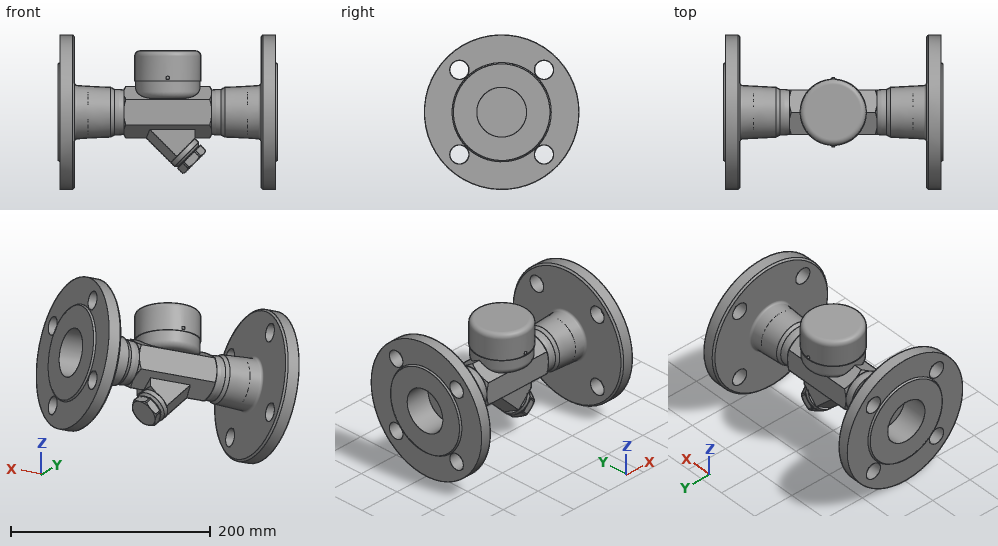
import cadquery as cq
import math

length = 220.0
flange_radius = 155.0 / 2
raised_face_height = 2.0
raised_face_radius = 48.5
raised_face_draft = 1.3
flange_inner_face = 93.5
flange_chamfer = 2.0
bolt_hole_diameter = 19.0
bolt_circle_diameter = 120.0
bolt_count = 4
bore_diameter = 50.0
bore_depth = 30.0

neck_root_radius = 26.8
neck_root_fillet = 2.6
neck_tip = 57.5
neck_tip_radius = 25.0
weld_outer = 53.5
weld_inner = 48.6
weld_radius = 46.0 / 2
body_joint_radius = 22.2

body_length = 88.0
body_across_flats = 44.9
body_chamfer_length = 2.0
body_chamfer_end_radius = 22.7

bowl_radius = 65.0 / 2
bowl_bottom = 13.6
bowl_fillet = 6.5
cap_radius = 66.5 / 2
cap_bottom = 31.2
cap_top = 61.5
cap_fillet = 5.5
pip_radius = 1.8
pip_z = 34.3

branch_angle = 45.0
branch_axis_offset = 16.5
branch_corner_radius = 34.0 / 2
branch_end = 37.8
branch_right_face = 27.3

collar_radius = branch_corner_radius
collar_shoulder = 43.3
plug_neck_radius = 29.0 / 2
plug_hex_start = 46.6
plug_hex_end = 55.0
plug_across_flats = 29.0
plug_corner_radius = 16.3
plug_chamfer = 1.0


def hexagon_radius(across_flats):
    """Centre-to-corner radius of a regular hexagon."""
    return across_flats / math.sqrt(3)


def make_end():
    """Flange, raised face, neck and blind bore on the +X end."""
    face = length / 2
    flange_outer_face = face - raised_face_height
    neck_root = flange_inner_face - neck_root_fillet
    joint = body_length / 2 - body_chamfer_length
    profile = (
        cq.Workplane("XY")
        .moveTo(joint, 0)
        .lineTo(joint, body_joint_radius)
        .lineTo(body_length / 2, body_joint_radius)
        .lineTo(weld_inner, weld_radius)
        .lineTo(weld_outer, weld_radius)
        .lineTo(neck_tip, neck_tip_radius)
        .lineTo(neck_root, neck_root_radius)
        .radiusArc((flange_inner_face, neck_root_radius + neck_root_fillet), -neck_root_fillet)
        .lineTo(flange_inner_face, flange_radius - flange_chamfer)
        .lineTo(flange_inner_face + flange_chamfer, flange_radius)
        .lineTo(flange_outer_face, flange_radius)
        .lineTo(flange_outer_face, raised_face_radius + raised_face_draft)
        .lineTo(face, raised_face_radius)
        .lineTo(face, 0)
        .close()
    )
    end = profile.revolve(360, (0, 0, 0), (1, 0, 0))
    first_bolt_angle = 360 / bolt_count / 2
    bolt_holes = (
        cq.Workplane("YZ", origin=(flange_inner_face, 0, 0))
        .polarArray(bolt_circle_diameter / 2, first_bolt_angle, 360, bolt_count)
        .circle(bolt_hole_diameter / 2)
        .extrude(face - flange_inner_face)
    )
    bore = cq.Workplane("YZ", origin=(face - bore_depth, 0, 0)).circle(bore_diameter / 2).extrude(bore_depth)
    return end.cut(bolt_holes).cut(bore)


def make_body():
    """Hexagonal bar with a corner up and a flat on each Y side, its end corners chamfered."""
    half_length = body_length / 2
    chamfer_start = half_length - body_chamfer_length
    corner_radius = hexagon_radius(body_across_flats)
    bar = (
        cq.Workplane("YZ", origin=(-half_length, 0, 0))
        .transformed(rotate=(0, 0, 90))
        .polygon(6, 2 * corner_radius)
        .extrude(body_length)
    )
    turned = (
        cq.Workplane("XY")
        .moveTo(-half_length, 0)
        .lineTo(-half_length, body_chamfer_end_radius)
        .lineTo(-chamfer_start, corner_radius)
        .lineTo(chamfer_start, corner_radius)
        .lineTo(half_length, body_chamfer_end_radius)
        .lineTo(half_length, 0)
        .close()
        .revolve(360, (0, 0, 0), (1, 0, 0))
    )
    return bar.intersect(turned)


def make_cap():
    """Bowl with a rounded bottom, a wider rounded cap on it, and a small round pip on each Y side."""
    bowl = (
        cq.Workplane("XY", origin=(0, 0, bowl_bottom))
        .circle(bowl_radius)
        .extrude(cap_bottom - bowl_bottom)
        .faces("<Z").edges().fillet(bowl_fillet)
    )
    cap = (
        cq.Workplane("XY", origin=(0, 0, cap_bottom))
        .circle(cap_radius)
        .extrude(cap_top - cap_bottom)
        .faces(">Z").edges().fillet(cap_fillet)
    )
    cap = cap.union(bowl)
    for side in (1, -1):
        pip = cq.Workplane("XY", origin=(0, side * cap_radius, pip_z)).sphere(pip_radius)
        cap = cap.union(pip)
    return cap


def branch_plane():
    """Plane square to the branch axis: local X points up to the right, local Y along -Y of the part."""
    angle = math.radians(branch_angle)
    across = cq.Vector(math.sin(angle), 0, math.cos(angle))
    along = cq.Vector(math.cos(angle), 0, -math.sin(angle))
    return cq.Plane(origin=across * -branch_axis_offset, xDir=across, normal=along)


def make_branch():
    """Half a hexagon below the branch axis, carried straight up above it to a face square to X."""
    half_width = branch_corner_radius * math.sqrt(3) / 2
    flat_start = -branch_corner_radius / 2
    upper_side = 2 * branch_corner_radius
    prism = (
        cq.Workplane(branch_plane())
        .moveTo(-branch_corner_radius, 0)
        .lineTo(flat_start, half_width)
        .lineTo(upper_side, half_width)
        .lineTo(upper_side, -half_width)
        .lineTo(flat_start, -half_width)
        .close()
        .extrude(branch_end)
    )
    limit_size = length
    limit = cq.Workplane("XY").box(limit_size, limit_size, limit_size).translate(
        (branch_right_face - limit_size / 2, 0, -limit_size / 2)
    )
    return prism.intersect(limit)


def make_plug():
    """Round collar with a sloping shoulder, then a hexagon head with rounded and chamfered corners."""
    plane = branch_plane()
    shoulder_end = collar_shoulder + collar_radius - plug_neck_radius
    collar = (
        cq.Workplane(plane)
        .workplane(offset=branch_end)
        .circle(collar_radius)
        .extrude(shoulder_end - branch_end)
        .faces(cq.selectors.DirectionMinMaxSelector(plane.zDir, True))
        .chamfer(collar_radius - plug_neck_radius)
    )
    neck = (
        cq.Workplane(plane)
        .workplane(offset=branch_end)
        .circle(plug_neck_radius)
        .extrude(plug_hex_start - branch_end)
    )
    head_height = plug_hex_end - plug_hex_start
    turned = (
        cq.Workplane(plane)
        .workplane(offset=plug_hex_start)
        .circle(plug_corner_radius)
        .extrude(head_height)
        .faces(cq.selectors.DirectionMinMaxSelector(plane.zDir, True))
        .chamfer(plug_chamfer, plug_corner_radius - plug_neck_radius)
    )
    head = (
        cq.Workplane(plane)
        .workplane(offset=plug_hex_start)
        .polygon(6, 2 * hexagon_radius(plug_across_flats))
        .extrude(head_height)
        .intersect(turned)
    )
    return collar.union(neck).union(head)


end = make_end()
result = (
    make_body()
    .union(end)
    .union(end.mirror("YZ"))
    .union(make_cap())
    .union(make_branch())
    .union(make_plug())
)